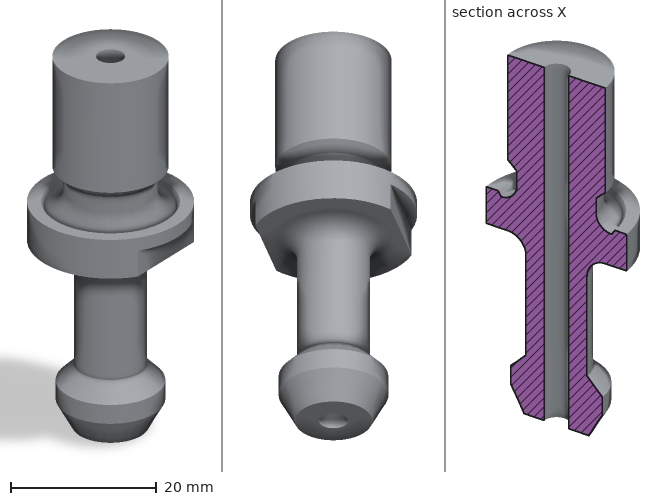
import cadquery as cq
import math

bore_radius = 2.0
shank_radius = 8.0
neck_radius = 6.5
flange_radius = 11.5
stem_radius = 5.05
knob_radius = 7.55
tip_radius = 5.3

knob_bottom = 4.1
knob_top = 7.05
stem_bottom = 9.6
flange_bottom = 28.7
flat_top = 32.7
flange_top = 34.7
neck_top = 38.8
shank_bottom = 40.2
shank_top = 57.15

stem_fillet = 3.0
neck_fillet = 2.5
recess_depth = 0.8
recess_rim_radius = 9.55
width_across_flats = 19.1

recess_floor = flange_top - recess_depth
diagonal = math.sqrt(0.5)


def concave_fillet(profile, wall_radius, size, face_height, start, end, side):
    """Add a quarter arc; side is +1 above the face it meets and -1 below it."""
    centre_radius = wall_radius + size
    centre_height = face_height + side * size
    middle = (centre_radius - size * diagonal, centre_height - side * size * diagonal)
    return profile.lineTo(*start).threePointArc(middle, end)


def make_turned_body():
    """Revolve the half section, including the through bore, about Z."""
    profile = (
        cq.Workplane("XZ")
        .moveTo(bore_radius, 0)
        .lineTo(tip_radius, 0)
        .lineTo(knob_radius, knob_bottom)
        .lineTo(knob_radius, knob_top)
        .lineTo(stem_radius, stem_bottom)
    )
    profile = concave_fillet(
        profile, stem_radius, stem_fillet, flange_bottom,
        start=(stem_radius, flange_bottom - stem_fillet),
        end=(stem_radius + stem_fillet, flange_bottom),
        side=-1,
    )
    profile = (
        profile.lineTo(flange_radius, flange_bottom)
        .lineTo(flange_radius, flange_top)
        .lineTo(recess_rim_radius, flange_top)
    )
    profile = concave_fillet(
        profile, neck_radius, neck_fillet, recess_floor,
        start=(neck_radius + neck_fillet, recess_floor),
        end=(neck_radius, recess_floor + neck_fillet),
        side=1,
    )
    profile = (
        profile.lineTo(neck_radius, neck_top)
        .lineTo(shank_radius, shank_bottom)
        .lineTo(shank_radius, shank_top)
        .lineTo(bore_radius, shank_top)
        .close()
    )
    return profile.revolve(360, (0, 0, 0), (0, 1, 0))


def cut_flats(body):
    """Cut two opposite flats into the lower part of the flange."""
    flat_height = flat_top - flange_bottom
    for side in (-1, 1):
        cutter = (
            cq.Workplane("XY")
            .box(flange_radius, 2 * flange_radius, flat_height, centered=(True, True, False))
            .translate((side * (width_across_flats + flange_radius) / 2, 0, flange_bottom))
        )
        body = body.cut(cutter)
    return body


result = cut_flats(make_turned_body())